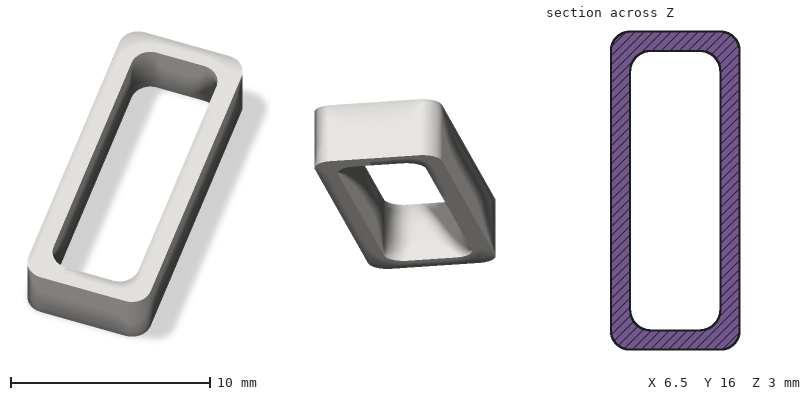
import cadquery as cq

outer_width = 6.5
outer_length = 16.0
height = 3.0
wall = 1.0
outer_corner_radius = 1.0
inner_corner_radius = 1.0

inner_width = outer_width - 2 * wall
inner_length = outer_length - 2 * wall


def rounded_block(width, length, corner_radius):
    """Upright block, centred in X and Y, with rounded vertical edges."""
    block = cq.Workplane("XY").box(width, length, height, centered=(True, True, False))
    return block.edges("|Z").fillet(corner_radius)


outer_block = rounded_block(outer_width, outer_length, outer_corner_radius)
opening = rounded_block(inner_width, inner_length, inner_corner_radius)

result = outer_block.cut(opening)